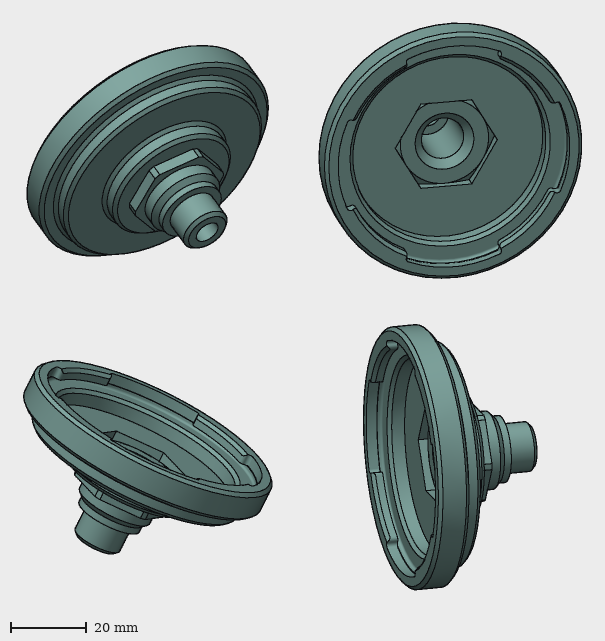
import cadquery as cq
import math

CHAMFER = 1.0

FLANGE_RADIUS = 35.0
FLANGE_END = 8.5
MIDDLE_RADIUS = 30.25
MIDDLE_END = 13.1
SMALL_RADIUS = 36.0 / 2
SMALL_END = 17.9

LUG_RADIUS = 29.25
LUG_DEPTH = 3.0
NOTCH_RADIUS = 31.5
NOTCH_COUNT = 4
NOTCH_HALF_ANGLE = 24.9
NOTCH_FILLET = 1.0
GROOVE_RADIUS = 63.5 / 2
GROOVE_FILLET = 0.7
GROOVE_END = 4.5
RECESS_RADIUS = 26.25
RECESS_END = 9.0

HEAD_ACROSS_FLATS = 24.0
HEAD_START = 11.1
HEAD_END = 14.0
HEAD_CHAMFER_ANGLE = 30.0
SHANK_RADIUS = 6.65
SHANK_END = 36.0
BORE_RADIUS = 5.75
BORE_END = 30.8
COUNTERSINK_RADIUS = 8.0
OUTLET_RADIUS = 6.65 / 2

NUT_ACROSS_FLATS = HEAD_ACROSS_FLATS
NUT_CORNER_RADIUS = 26.8 / 2
NUT_END = 21.15
SLEEVE_RADIUS = 20.9 / 2
SLEEVE_TIP_RADIUS = 8.95
SLEEVE_TAPER_START = 24.4
SLEEVE_END = 27.85


def revolved(points):
    """Revolve an outline of (x, radius) points about the X axis."""
    return cq.Workplane("XY").polyline(points).close().revolve(360, (0, 0, 0), (1, 0, 0))


def cylinder(radius, start, end):
    return cq.Workplane("YZ").workplane(offset=start).circle(radius).extrude(end - start)


def hexagon(across_flats, start, end):
    """Hexagonal prism along X with two flats facing up and down."""
    across_corners = across_flats * 2 / math.sqrt(3)
    return cq.Workplane("YZ").workplane(offset=start).polygon(6, across_corners).extrude(end - start)


def flange_blank():
    return revolved([
        (0, 0),
        (0, FLANGE_RADIUS - CHAMFER),
        (CHAMFER, FLANGE_RADIUS),
        (FLANGE_END - CHAMFER, FLANGE_RADIUS),
        (FLANGE_END, FLANGE_RADIUS - CHAMFER),
        (FLANGE_END, MIDDLE_RADIUS + CHAMFER),
        (FLANGE_END + CHAMFER, MIDDLE_RADIUS),
        (MIDDLE_END - CHAMFER, MIDDLE_RADIUS),
        (MIDDLE_END, MIDDLE_RADIUS - CHAMFER),
        (MIDDLE_END, SMALL_RADIUS + CHAMFER),
        (MIDDLE_END + CHAMFER, SMALL_RADIUS),
        (SMALL_END - CHAMFER, SMALL_RADIUS),
        (SMALL_END, SMALL_RADIUS - CHAMFER),
        (SMALL_END, 0),
    ])


def bayonet_mouth():
    """Opening between the lugs: a round hole with wedge-shaped notches and rounded corners."""
    mouth = cylinder(LUG_RADIUS, 0, LUG_DEPTH)
    reach = FLANGE_RADIUS
    half_width = reach * math.tan(math.radians(NOTCH_HALF_ANGLE))
    wedge = (
        cq.Workplane("YZ")
        .polyline([(0, 0), (half_width, reach), (-half_width, reach)])
        .close()
        .extrude(LUG_DEPTH)
    )
    rim = cylinder(NOTCH_RADIUS, 0, LUG_DEPTH)
    for index in range(NOTCH_COUNT):
        turned = wedge.rotate((0, 0, 0), (1, 0, 0), index * 360 / NOTCH_COUNT)
        mouth = mouth.union(turned.intersect(rim))
    mouth = mouth.edges("|X").fillet(NOTCH_FILLET)
    lug_chamfer = revolved([(0, 0), (0, LUG_RADIUS + CHAMFER), (CHAMFER, LUG_RADIUS), (CHAMFER, 0)])
    return mouth.union(lug_chamfer)


def bayonet_groove():
    groove = cylinder(GROOVE_RADIUS, LUG_DEPTH, GROOVE_END)
    return groove.faces(">X").edges().fillet(GROOVE_FILLET)


def recess():
    return revolved([
        (GROOVE_END, 0),
        (GROOVE_END, RECESS_RADIUS + CHAMFER),
        (GROOVE_END + CHAMFER, RECESS_RADIUS),
        (RECESS_END, RECESS_RADIUS),
        (RECESS_END, 0),
    ])


def make_flange():
    flange = flange_blank().cut(bayonet_mouth()).cut(bayonet_groove()).cut(recess())
    flange = flange.cut(hexagon(HEAD_ACROSS_FLATS, RECESS_END, HEAD_END))
    return flange.cut(cylinder(SHANK_RADIUS, HEAD_END, SMALL_END))


def bolt_head():
    """Hexagon whose front corners are turned down to a circle touching the flats."""
    face_radius = HEAD_ACROSS_FLATS / 2
    cone_widening = (HEAD_END - HEAD_START) / math.tan(math.radians(HEAD_CHAMFER_ANGLE))
    cone = revolved([
        (HEAD_START, 0),
        (HEAD_START, face_radius),
        (HEAD_END, face_radius + cone_widening),
        (HEAD_END, 0),
    ])
    return hexagon(HEAD_ACROSS_FLATS, HEAD_START, HEAD_END).intersect(cone)


def make_bolt():
    shank = cylinder(SHANK_RADIUS, HEAD_END, SHANK_END).faces(">X").chamfer(CHAMFER)
    bore = revolved([
        (HEAD_START, 0),
        (HEAD_START, COUNTERSINK_RADIUS),
        (HEAD_START + COUNTERSINK_RADIUS - BORE_RADIUS, BORE_RADIUS),
        (BORE_END, BORE_RADIUS),
        (BORE_END, OUTLET_RADIUS),
        (SHANK_END, OUTLET_RADIUS),
        (SHANK_END, 0),
    ])
    return bolt_head().union(shank).cut(bore)


def make_nut():
    """Hexagonal nut with its corners turned down to a cylinder."""
    nut = hexagon(NUT_ACROSS_FLATS, SMALL_END, NUT_END)
    nut = nut.intersect(cylinder(NUT_CORNER_RADIUS, SMALL_END, NUT_END))
    return nut.cut(cylinder(SHANK_RADIUS, SMALL_END, NUT_END))


def make_sleeve():
    return revolved([
        (NUT_END, SHANK_RADIUS),
        (NUT_END, SLEEVE_RADIUS),
        (SLEEVE_TAPER_START, SLEEVE_RADIUS),
        (SLEEVE_TAPER_START + SLEEVE_RADIUS - SLEEVE_TIP_RADIUS, SLEEVE_TIP_RADIUS),
        (SLEEVE_END, SLEEVE_TIP_RADIUS),
        (SLEEVE_END, SHANK_RADIUS),
    ])


flange = make_flange()
bolt = make_bolt()
nut = make_nut()
sleeve = make_sleeve()

result = cq.Compound.makeCompound([flange.val(), bolt.val(), nut.val(), sleeve.val()])